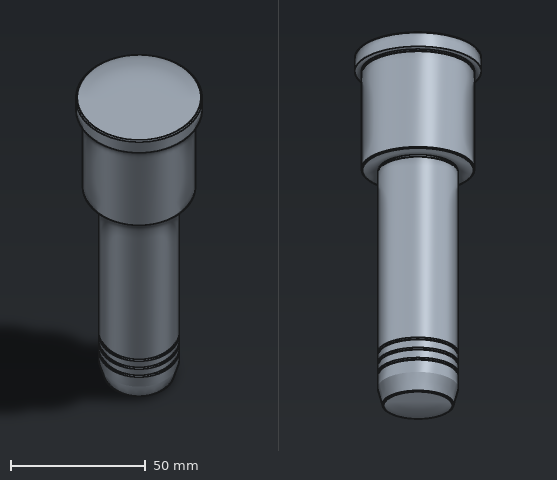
import cadquery as cq
import math

total_length = 141.0
head_radius = 47.0 / 2
head_height = 6.0
body_radius = 42.0 / 2
body_bottom = total_length - 46.0
shaft_radius = 30.0 / 2
edge_chamfer = 0.4
head_chamfer = 0.5

relief_depth = 0.4
relief_width = 1.0

groove_count = 3
groove_width = 1.0
groove_depth = groove_width / 2
groove_pitch = 4.1
lowest_groove_center = 12.4

tip_length = 7.0
tip_angle = 15.0
tip_end_radius = shaft_radius - tip_length * math.tan(math.radians(tip_angle))


def cylinder(radius, bottom, top):
    return cq.Workplane("XY").workplane(offset=bottom).circle(radius).extrude(top - bottom)


def ring_groove(outer_radius, depth, bottom, width):
    """Ring of material to remove from a cylinder of the given radius."""
    return (
        cq.Workplane("XY")
        .workplane(offset=bottom)
        .circle(outer_radius)
        .circle(outer_radius - depth)
        .extrude(width)
    )


def vee_groove(outer_radius, depth, center, width):
    """Ring of triangular section to remove from a cylinder of the given radius."""
    return (
        cq.Workplane("XZ")
        .moveTo(outer_radius, center - width / 2)
        .lineTo(outer_radius - depth, center)
        .lineTo(outer_radius, center + width / 2)
        .close()
        .revolve(360, (0, 0), (0, 1))
    )


head_bottom = total_length - head_height
head = cylinder(head_radius, head_bottom, total_length).faces(">Z").edges().chamfer(head_chamfer)
body = cylinder(body_radius, body_bottom, head_bottom).faces("<Z").edges().chamfer(edge_chamfer)
shaft = cylinder(shaft_radius, tip_length, body_bottom)
tip = (
    cq.Workplane("XY")
    .circle(tip_end_radius)
    .workplane(offset=tip_length)
    .circle(shaft_radius)
    .loft(ruled=True)
    .faces("<Z")
    .edges()
    .chamfer(edge_chamfer)
)
result = head.union(body).union(shaft).union(tip)

result = result.cut(
    vee_groove(body_radius, groove_depth, head_bottom - groove_width / 2, groove_width)
)
result = result.cut(
    ring_groove(shaft_radius, relief_depth, body_bottom - relief_width, relief_width)
)

for index in range(groove_count):
    groove_center = lowest_groove_center + index * groove_pitch
    result = result.cut(vee_groove(shaft_radius, groove_depth, groove_center, groove_width))